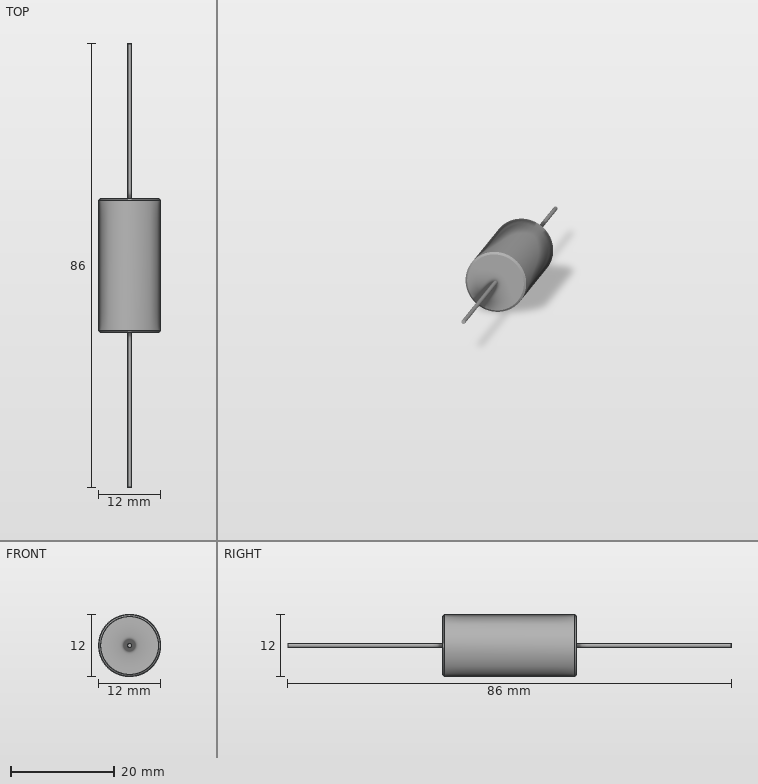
import cadquery as cq

overall_length = 86.0
body_length = 26.0
body_diameter = 12.0
lead_diameter = 0.8
rim_chamfer = 0.4


def rod_along_y(diameter, length):
    """Cylinder centred on the origin with its axis along Y."""
    return cq.Workplane("XZ", origin=(0, length / 2, 0)).circle(diameter / 2).extrude(length)


body = rod_along_y(body_diameter, body_length).faces("<Y or >Y").chamfer(rim_chamfer)

leads = rod_along_y(lead_diameter, overall_length)

result = body.union(leads)